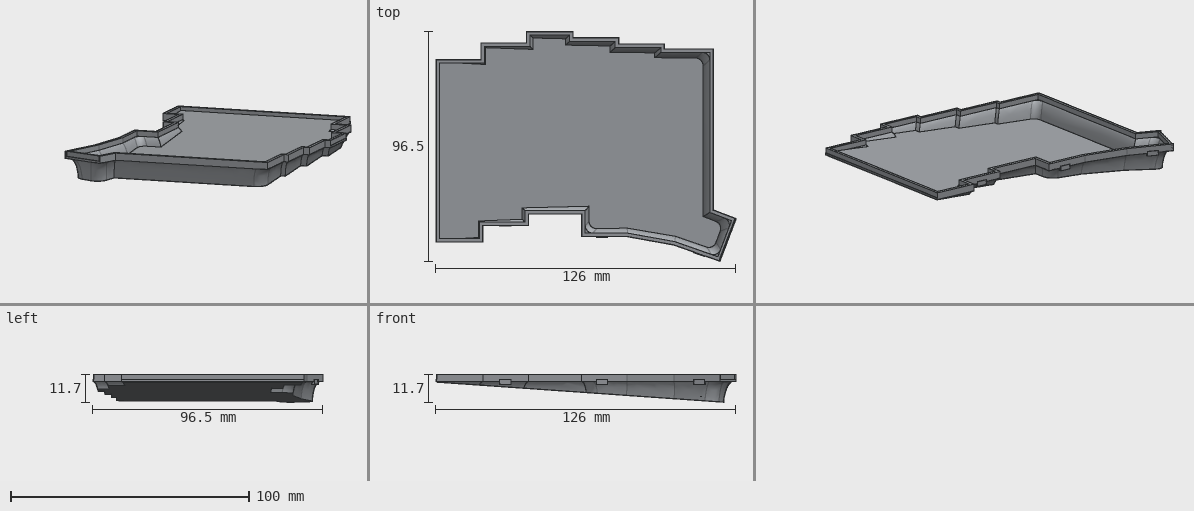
import cadquery as cq
import math

WALL = 1.5
RIM_HEIGHT = 3.0
FLARE_DEPTH = 8.8
FLARE_INSET = 2.5
TILT = math.radians(4.0)
LEFT_END_DEPTH = 3.3
FLOOR = 1.8
CORNER_RADIUS = 3.2
FLARE_STEPS = 6
MARGIN = 12.6

TAB_WIDTH = 4.8
TAB_TOP = 2.1
TAB_HEIGHT = 2.0
TAB_PROTRUSION = 0.3
TAB_INNER = 1.0
STEP_TAB_POSITION = 9.5
NOTCH_TAB_POSITION = 8.6
LOBE_TAB_POSITION = 11.3

LEDGE_DEPTH = 2.1
LEDGE_RECESS = 0.19
LOBE_RECESS = 0.5
LOBE_EAR = 0.5

LENGTH = 126
WIDTH = 96.5
FRONT_X1, FRONT_X2, NOTCH_X, BEND_X = 19.7, 38.8, 61.1, 80.2
REAR_X1, REAR_X2, REAR_X3, REAR_X4, REAR_X5, RIGHT_X = 18.8, 38.0, 57.6, 76.8, 95.9, 116.5
FRONT_Y1, FRONT_Y2, FRONT_Y3, FRONT_Y4 = 8.1, 15.0, 19.8, 10.3
REAR_Y1, REAR_Y2, REAR_Y3, REAR_Y4, REAR_Y5, REAR_Y6 = 84.7, 91.8, WIDTH, 93.9, 91.3, 89.2

FRONT_LEFT = (0, FRONT_Y1)
STEP_LEFT = (FRONT_X1, FRONT_Y2)
STEP_RIGHT = (FRONT_X2, FRONT_Y2)
NOTCH_CORNER = (NOTCH_X, FRONT_Y4)
BEND = (BEND_X, FRONT_Y4)
LOBE_START = (99.8, 6.8)
LOBE_FRONT = (119.2, 0)
LOBE_BACK = (LENGTH, 17.9)
LOBE_ROOT = (RIGHT_X, 21.5)
BACK_RIGHT = (RIGHT_X, REAR_Y6)
PEAK_RIGHT = (REAR_X3, REAR_Y3)
PEAK_LEFT = (REAR_X2, REAR_Y3)
BACK_LEFT = (0, REAR_Y1)
OUTLINE = [
    FRONT_LEFT, (FRONT_X1, FRONT_Y1),
    STEP_LEFT, STEP_RIGHT,
    (FRONT_X2, FRONT_Y3), (NOTCH_X, FRONT_Y3),
    NOTCH_CORNER, BEND, LOBE_START, LOBE_FRONT, LOBE_BACK, LOBE_ROOT,
    BACK_RIGHT, (REAR_X5, REAR_Y6),
    (REAR_X5, REAR_Y5), (REAR_X4, REAR_Y5),
    (REAR_X4, REAR_Y4), (REAR_X3, REAR_Y4),
    PEAK_RIGHT, PEAK_LEFT,
    (REAR_X2, REAR_Y2), (REAR_X1, REAR_Y2),
    (REAR_X1, REAR_Y1), BACK_LEFT,
]
ROUNDED_CORNERS = [NOTCH_CORNER, LOBE_FRONT, LOBE_BACK, BACK_RIGHT]


def unit(start, end):
    """Unit vector pointing from start to end."""
    distance = math.dist(start, end)
    return ((end[0] - start[0]) / distance, (end[1] - start[1]) / distance)


def inset_corner(index, inset):
    """Outline corner moved inward so that both its edges shift by inset."""
    corner = OUTLINE[index]
    ax, ay = unit(OUTLINE[index - 1], corner)
    bx, by = unit(corner, OUTLINE[(index + 1) % len(OUTLINE)])
    scale = inset / (1 + ax * bx + ay * by)
    return (corner[0] - (ay + by) * scale, corner[1] + (ax + bx) * scale)


def section(inset, depth, radius, shift=0.0):
    """Closed wire: the inset outline at a depth, moved along X, with the chosen corners rounded."""
    points = [inset_corner(i, inset) for i in range(len(OUTLINE))]
    points = [(x + shift, y) for x, y in points]
    pen = None
    for i, corner in enumerate(points):
        stops = [corner]
        if radius and OUTLINE[i] in ROUNDED_CORNERS:
            ax, ay = unit(points[i - 1], corner)
            bx, by = unit(corner, points[(i + 1) % len(points)])
            half_turn = math.acos(ax * bx + ay * by) / 2
            tangent = radius * math.tan(half_turn)
            sagitta = radius * (1 / math.cos(half_turn) - 1)
            mx, my = unit((ax, ay), (bx, by))
            stops = [
                (corner[0] - ax * tangent, corner[1] - ay * tangent),
                (corner[0] + mx * sagitta, corner[1] + my * sagitta),
                (corner[0] + bx * tangent, corner[1] + by * tangent),
            ]
        if pen is None:
            pen = cq.Workplane("XY", origin=(0, 0, -depth)).moveTo(*stops[0])
        else:
            pen = pen.lineTo(*stops[0])
        if len(stops) > 1:
            pen = pen.threePointArc(stops[1], stops[2])
    return pen.close().wire().val()


def flare_depth(offset, angle):
    """Depth below the rim of the wall's ellipse, grown by offset, at an angle from its top."""
    return RIM_HEIGHT + FLARE_DEPTH - (FLARE_DEPTH + offset) * math.cos(angle)


def flare(offset, first_angle, radius):
    """Bowl body whose wall is the quarter ellipse grown by offset, leaning with the tilted bottom."""
    wires = []
    for i in range(FLARE_STEPS + 1):
        angle = first_angle + (math.pi / 2 - first_angle) * i / FLARE_STEPS
        inset = (FLARE_INSET + offset) * math.sin(angle)
        depth = flare_depth(offset, angle)
        lean = -math.tan(TILT) * max(0, depth - RIM_HEIGHT)
        wires.append(section(inset, depth, radius, lean))
    return cq.Workplane(cq.Solid.makeLoft(wires))


def prism(inset, depth):
    """Straight-sided body of the inset outline, from the rim down to depth."""
    wire = section(inset, depth, 0)
    return cq.Workplane(cq.Solid.extrudeLinear(wire, [], cq.Vector(0, 0, depth)))


def space_above(depth_at_left):
    """Block of space above the tilted plane that passes depth_at_left below the left end."""
    left, right = -MARGIN, LENGTH + MARGIN
    slope = math.tan(TILT)
    return (
        cq.Workplane("XZ", origin=(0, -MARGIN, 0))
        .polyline([
            (left, -depth_at_left - slope * left),
            (right, -depth_at_left - slope * right),
            (right, MARGIN),
            (left, MARGIN),
        ])
        .close()
        .extrude(-(WIDTH + 2 * MARGIN))
    )


def edge_block(start, end, middle, width, outer, inner, top, height):
    """Block centred at distance middle along an outline edge, its top at depth top.

    It reaches outer beyond the edge's face and inner behind it.
    """
    ux, uy = unit(start, end)
    plane = cq.Plane(
        origin=(start[0] + ux * middle, start[1] + uy * middle, -top),
        xDir=(ux, uy, 0),
        normal=(0, 0, 1),
    )
    return (
        cq.Workplane(plane)
        .center(0, (inner - outer) / 2)
        .rect(width, inner + outer)
        .extrude(-height)
    )


result = (
    prism(0, RIM_HEIGHT)
    .union(flare(0, 0, CORNER_RADIUS + WALL))
    .intersect(space_above(LEFT_END_DEPTH))
)

for start, end, position in [
    (STEP_LEFT, STEP_RIGHT, STEP_TAB_POSITION),
    (NOTCH_CORNER, BEND, NOTCH_TAB_POSITION),
    (LOBE_START, LOBE_FRONT, LOBE_TAB_POSITION),
]:
    result = result.union(edge_block(
        start, end, position, TAB_WIDTH, TAB_PROTRUSION, TAB_INNER, TAB_TOP, TAB_HEIGHT,
    ))

for start, end, ear, recess in [
    (BACK_LEFT, FRONT_LEFT, 0, LEDGE_RECESS),
    (PEAK_RIGHT, PEAK_LEFT, 0, LEDGE_RECESS),
    (LOBE_FRONT, LOBE_BACK, LOBE_EAR, LOBE_RECESS),
]:
    edge_length = math.dist(start, end)
    result = result.cut(edge_block(
        start, end, edge_length / 2, edge_length - 2 * ear, 0, recess, 0, LEDGE_DEPTH,
    ))

cavity_angle = math.asin(WALL / (FLARE_INSET + WALL))
cavity = (
    prism(WALL, flare_depth(WALL, cavity_angle))
    .union(flare(WALL, cavity_angle, CORNER_RADIUS))
    .intersect(space_above(LEFT_END_DEPTH - FLOOR))
)
result = result.cut(cavity)